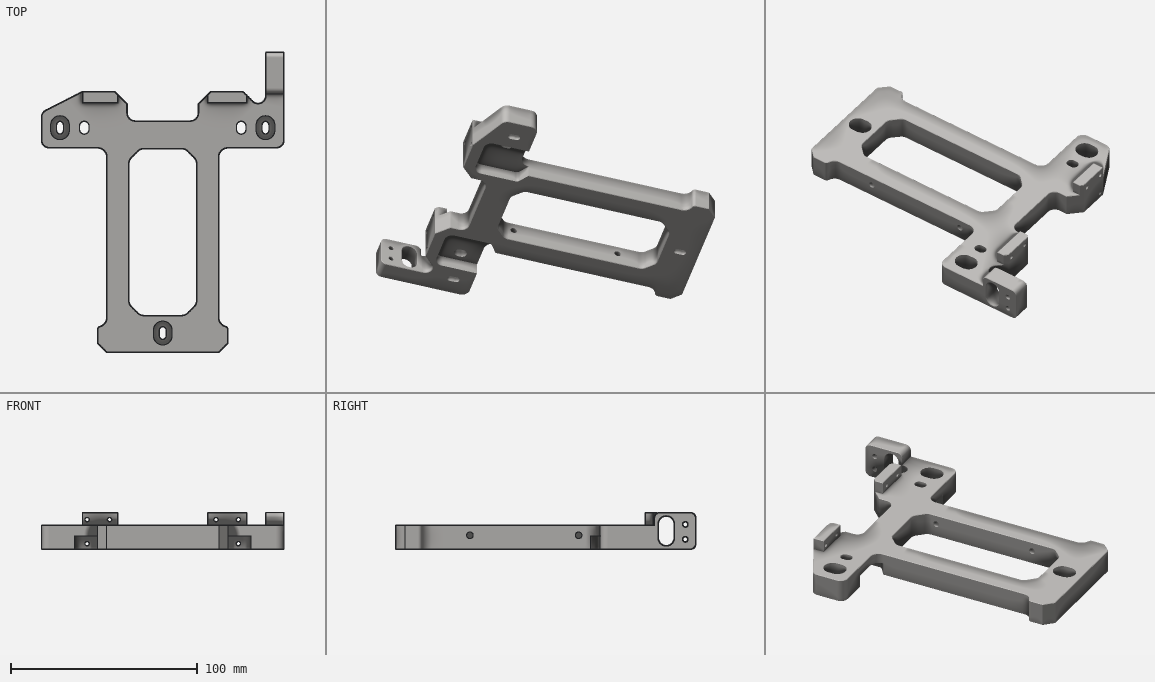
import cadquery as cq

plate_thickness = 13.0
arm_half_width = 65.0
arm_front_y = 109.5
arm_back_y = 139.8
corner_radius = 4.3
edge_chamfer = 0.28

rail_half_width = 30.0
rail_fillet = 5.0
foot_half_width = 35.0
foot_chamfer = 5.0
foot_back_y = 13.9
foot_corner_fillet = 2.0

notch_half_width = 19.0
notch_floor_y = 124.1
notch_fillet = 4.3
shoulder_drop = 6.6
shoulder_x = notch_half_width + shoulder_drop
shoulder_outer_x = 43.0
slant_end_y = 128.6
scallop_radius = 4.0

window_half_width = 18.0
window_front_y = 20.0
window_back_y = 109.0
window_chamfer = 6.0
window_fillet = 4.2

overall_height = 19.85
tab_front_y = 133.6
tab_overlap = 3.0
tab_inner_x = 24.0
left_tab_outer_x = shoulder_outer_x
right_tab_outer_x = 45.0
ear_inner_x = 55.0
ear_back_y = 160.8
ear_front_y = 138.4
ear_fillet = 3.0
ear_overlap = 1.0

ear_slot_y = 144.9
ear_slot_width = 8.3
ear_slot_height = 15.7
ear_hole_y = 155.1
ear_hole_heights = (5.4, 13.4)
ear_hole_diameter = 2.53

mount_slot_width = 3.5
mount_slot_length = 6.7
mount_pocket_width = 10.0
mount_pocket_length = 12.8
mount_floor = 3.0
arm_slot_x = 55.0
arm_slot_y = 120.4
foot_slot_y = 10.5
plain_slot_x = 42.0
plain_slot_width = 5.0
plain_slot_length = 6.8

pocket_height = 7.2
pocket_outer_x = 47.2
pocket_inner_x = 24.0
pocket_start_y = 104.4
pocket_inner_y = 108.8
pocket_inner_fillet = 2.0

tab_hole_diameter = 2.2
tab_hole_inner_x = 28.5
tab_hole_outer_x = 40.5
tab_hole_z = 16.0
pocket_hole_z = 3.1
rail_hole_diameter = 3.5
rail_hole_z = 7.6
rail_hole_ys = (39.8, 98.0)


def fillet_vertical(body, points, radius):
    """Round the vertical edges that stand on the given XY points."""
    for x, y in points:
        edge = body.edges("|Z").edges(cq.selectors.NearestToPointSelector((x, y, plate_thickness / 2)))
        body = edge.fillet(radius)
    return body


def both_sides(x, y):
    return [(-x, y), (x, y)]


def hole_along_x(x_start, x_end, y, z, diameter):
    return (
        cq.Workplane("YZ").workplane(offset=x_start).center(y, z)
        .circle(diameter / 2).extrude(x_end - x_start)
    )


def make_window():
    length = window_back_y - window_front_y
    return (
        cq.Workplane("XY")
        .center(0, (window_front_y + window_back_y) / 2)
        .rect(2 * window_half_width, length)
        .extrude(plate_thickness)
        .edges("|Z").chamfer(window_chamfer)
        .edges("|Z").fillet(window_fillet)
    )


def make_plate():
    """T-shaped plate with a window; its top and bottom rims are chamfered."""
    foot_blend_y = foot_back_y + rail_fillet
    shoulder_bottom_y = arm_back_y - shoulder_drop
    scallop_y = arm_back_y - (ear_inner_x - shoulder_outer_x)
    right_side = [
        (foot_half_width - foot_chamfer, 0),
        (foot_half_width, foot_chamfer),
        (foot_half_width, foot_back_y),
        (rail_half_width, foot_blend_y),
        (rail_half_width, arm_front_y),
        (arm_half_width, arm_front_y),
    ]
    back = [
        (arm_half_width, ear_front_y + ear_overlap),
        (ear_inner_x, ear_front_y + ear_overlap),
        (ear_inner_x, scallop_y),
        (shoulder_outer_x, arm_back_y),
        (shoulder_x, arm_back_y),
        (notch_half_width, shoulder_bottom_y),
        (notch_half_width, notch_floor_y),
        (-notch_half_width, notch_floor_y),
        (-notch_half_width, shoulder_bottom_y),
        (-shoulder_x, arm_back_y),
        (-shoulder_outer_x, arm_back_y),
        (-arm_half_width, slant_end_y),
    ]
    left_side = [(-x, y) for x, y in reversed(right_side)]
    plate = cq.Workplane("XY").polyline(right_side + back + left_side).close().extrude(plate_thickness)
    foot_blends = (
        cq.Workplane("XY")
        .pushPoints(both_sides(rail_half_width + rail_fillet, foot_blend_y))
        .circle(rail_fillet).extrude(plate_thickness)
    )
    plate = plate.cut(foot_blends)
    plate = fillet_vertical(plate, both_sides(foot_half_width, foot_back_y), foot_corner_fillet)
    plate = fillet_vertical(plate, both_sides(rail_half_width, arm_front_y), rail_fillet)
    arm_corners = both_sides(arm_half_width, arm_front_y) + [(-arm_half_width, slant_end_y)]
    plate = fillet_vertical(plate, arm_corners, corner_radius)
    plate = fillet_vertical(plate, both_sides(notch_half_width, notch_floor_y), notch_fillet)
    plate = fillet_vertical(plate, [(ear_inner_x, scallop_y)], scallop_radius)
    plate = plate.cut(make_window())
    return plate.faces("<Z or >Z").chamfer(edge_chamfer)


def make_tab(side, outer_x):
    """Upright tab on the back edge; its back corners follow the plate shoulders."""
    inner_drop = shoulder_x - tab_inner_x
    points = [
        (tab_inner_x, tab_front_y),
        (outer_x, tab_front_y),
    ]
    if outer_x > shoulder_outer_x:
        points.append((outer_x, arm_back_y - (outer_x - shoulder_outer_x)))
    points += [
        (shoulder_outer_x, arm_back_y),
        (shoulder_x, arm_back_y),
        (tab_inner_x, arm_back_y - inner_drop),
    ]
    outline = [(side * x, y) for x, y in points]
    base_z = plate_thickness - tab_overlap
    tab = cq.Workplane("XY").workplane(offset=base_z).polyline(outline).close()
    return tab.extrude(overall_height - base_z).faces(">Z").chamfer(edge_chamfer)


def slot_along_y(x, y, width, length, bottom, top):
    return (
        cq.Workplane("XY").workplane(offset=bottom).center(x, y)
        .slot2D(length, width, 90).extrude(top - bottom)
    )


def cut_mounting_slots(body):
    for x, y in both_sides(arm_slot_x, arm_slot_y) + [(0, foot_slot_y)]:
        body = body.cut(slot_along_y(x, y, mount_slot_width, mount_slot_length, 0, plate_thickness))
        body = body.cut(
            slot_along_y(x, y, mount_pocket_width, mount_pocket_length, mount_floor, plate_thickness)
        )
    for x, y in both_sides(plain_slot_x, arm_slot_y):
        body = body.cut(slot_along_y(x, y, plain_slot_width, plain_slot_length, 0, plate_thickness))
    return body


def make_underside_pocket(side):
    """Pocket open to the front of the arm, running into the rail on a slant."""
    points = [
        (rail_half_width, pocket_start_y),
        (pocket_inner_x, pocket_inner_y),
        (pocket_inner_x, tab_front_y),
        (pocket_outer_x, tab_front_y),
        (pocket_outer_x, pocket_start_y),
    ]
    outline = [(side * x, y) for x, y in points]
    pocket = cq.Workplane("XY").polyline(outline).close().extrude(pocket_height)
    pocket = fillet_vertical(pocket, [outline[1]], pocket_inner_fillet)
    return fillet_vertical(pocket, outline[2:4], corner_radius)


def hole_along_y(x, z, diameter):
    """Screw hole through the back wall of the arm."""
    return (
        cq.Workplane("XZ", origin=(0, tab_front_y, 0)).center(x, z)
        .circle(diameter / 2).extrude(tab_front_y - arm_back_y)
    )


def cut_screw_holes(body):
    for side in (-1, 1):
        for x, z in (
            (tab_hole_inner_x, tab_hole_z),
            (tab_hole_outer_x, tab_hole_z),
            (tab_hole_outer_x, pocket_hole_z),
        ):
            body = body.cut(hole_along_y(side * x, z, tab_hole_diameter))
    for y in rail_hole_ys:
        body = body.cut(hole_along_x(window_half_width, rail_half_width, y, rail_hole_z, rail_hole_diameter))
    return body


def make_ear():
    """Ear with a slot and two screw holes; the rims on both sides are chamfered."""
    ear = cq.Workplane("XY").box(
        arm_half_width - ear_inner_x, ear_back_y - ear_front_y, overall_height, centered=False
    ).translate((ear_inner_x, ear_front_y, 0))
    ear = ear.edges("|X").edges(">Y or >Z").fillet(ear_fillet)
    slot = (
        cq.Workplane("YZ").workplane(offset=ear_inner_x).center(ear_slot_y, overall_height / 2)
        .slot2D(ear_slot_height, ear_slot_width, 90).extrude(arm_half_width - ear_inner_x)
    )
    ear = ear.cut(slot)
    for z in ear_hole_heights:
        ear = ear.cut(hole_along_x(ear_inner_x, arm_half_width, ear_hole_y, z, ear_hole_diameter))
    return ear.faces("<X or >X").chamfer(edge_chamfer)


result = make_plate().union(make_ear())
result = result.union(make_tab(-1, left_tab_outer_x)).union(make_tab(1, right_tab_outer_x))
for side in (-1, 1):
    result = result.cut(make_underside_pocket(side))
result = cut_mounting_slots(result)
result = cut_screw_holes(result)